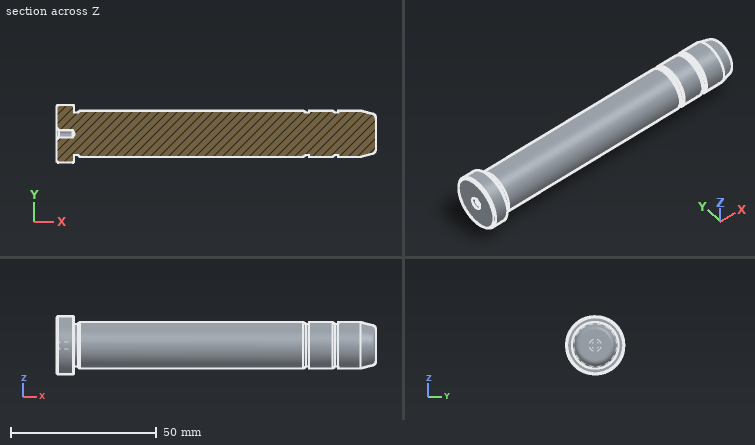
import cadquery as cq
import math

length = 110.0
head_radius = 10.0
head_length = 6.0
head_face_chamfer = 0.5
head_back_chamfer = 0.3
shank_radius = 8.0

neck_radius = 7.4
neck_length = 1.3
neck_bevel_length = shank_radius - neck_radius
groove_radius = neck_radius
groove_starts = (84.9, 94.9)
groove_bevel_length = 1.0
groove_length = 2.0

nose_start = 104.7
nose_bevel_length = 0.3
nose_bevel_height = 0.1
nose_taper_end = 108.4
nose_taper_end_radius = 7.0
nose_end_radius = 5.4
nose_arc_mid = (109.6, 6.5)

sink_radius = 2.1
hole_radius = 1.2
sink_depth = sink_radius - hole_radius
hole_depth = 5.5
drill_tip_angle = 120


def revolve_about_axis(profile):
    """Turn an XY half profile about the X axis."""
    return profile.close().revolve(360, (0, 0, 0), (1, 0, 0))


def make_body():
    neck_end = head_length + neck_length
    profile = (
        cq.Workplane("XY")
        .lineTo(0, head_radius - head_face_chamfer)
        .lineTo(head_face_chamfer, head_radius)
        .lineTo(head_length - head_back_chamfer, head_radius)
        .lineTo(head_length, head_radius - head_back_chamfer)
        .lineTo(head_length, neck_radius)
        .lineTo(neck_end, neck_radius)
        .lineTo(neck_end + neck_bevel_length, shank_radius)
        .lineTo(nose_start, shank_radius)
        .lineTo(nose_start + nose_bevel_length, shank_radius - nose_bevel_height)
        .lineTo(nose_taper_end, nose_taper_end_radius)
        .threePointArc(nose_arc_mid, (length, nose_end_radius))
        .lineTo(length, 0)
    )
    return revolve_about_axis(profile)


def make_groove(start):
    """Ring cutter with a sloped head-side wall and a square nose-side wall."""
    end = start + groove_length
    profile = (
        cq.Workplane("XY")
        .moveTo(start, shank_radius)
        .lineTo(start + groove_bevel_length, groove_radius)
        .lineTo(end, groove_radius)
        .lineTo(end, shank_radius)
    )
    return revolve_about_axis(profile)


def make_centre_hole():
    """Cutter for the centre hole, opening on the head face."""
    tip_length = hole_radius / math.tan(math.radians(drill_tip_angle / 2))
    profile = (
        cq.Workplane("XY")
        .lineTo(0, sink_radius)
        .lineTo(sink_depth, hole_radius)
        .lineTo(hole_depth, hole_radius)
        .lineTo(hole_depth + tip_length, 0)
    )
    return revolve_about_axis(profile)


result = make_body().cut(make_centre_hole())
for groove_start in groove_starts:
    result = result.cut(make_groove(groove_start))